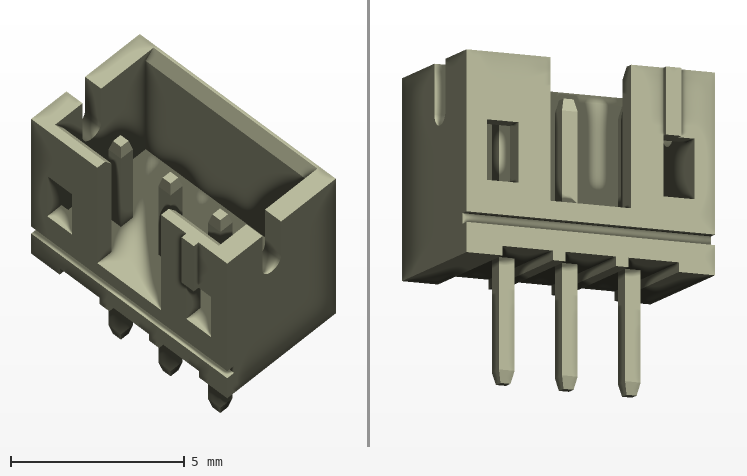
import cadquery as cq


body_length = 7.9
body_depth = 4.5
body_height = 5.99

end_wall = 0.65
back_wall = 0.42
front_wall = 0.59
floor_height = 1.75
lead_in_height = 0.31
back_lead_in = 0.33
front_lead_in = 0.27

front_opening_width = 2.57
window_width = 1.0
window_height = 1.79
window_drop = 2.01
side_slot_width = 0.77
side_slot_depth = 1.9

groove_bottom = 0.89
groove_height = 0.31
groove_depth = 0.28
relief_width = 1.6
relief_height = 0.28

rib_width = 0.49
rib_thickness = 0.2

pin_count = 3
pin_pitch = 2.0
pin_size = 0.5
pin_tip_size = 0.32
pin_taper = 0.38
pin_y = 1.71
pin_length_below = 3.41
pin_top_drop = 0.83

cavity_length = body_length - 2 * end_wall
cavity_back = body_depth - back_wall
window_bottom = body_height - window_drop - window_height
window_inner_x = cavity_length / 2 - window_width
side_slot_y = pin_y - pin_size / 2 + side_slot_width / 2
pin_positions = [(i - (pin_count - 1) / 2) * pin_pitch for i in range(pin_count)]


def box(x_min, x_size, y_min, y_size, z_min, z_size):
    """Box given by its lowest corner and its sizes."""
    return cq.Workplane("XY").box(x_size, y_size, z_size, centered=False).translate((x_min, y_min, z_min))


def cavity():
    """Open-topped cavity with sloped lead-ins along the front and back walls."""
    lead_in_bottom = body_height - lead_in_height
    profile = [
        (front_wall, floor_height),
        (front_wall, lead_in_bottom),
        (front_wall - front_lead_in, body_height),
        (cavity_back + back_lead_in, body_height),
        (cavity_back, lead_in_bottom),
        (cavity_back, floor_height),
    ]
    return cq.Workplane("YZ").polyline(profile).close().extrude(cavity_length / 2, both=True)


def front_opening():
    """Central gap in the front wall, level with the cavity floor."""
    return box(-front_opening_width / 2, front_opening_width, 0, front_wall,
               floor_height, body_height - floor_height)


def window(x_min):
    """Rectangular latch window through the front wall."""
    return box(x_min, window_width, 0, front_wall, window_bottom, window_height)


def side_slots():
    """Round-bottomed slot cut down through both end walls."""
    radius = side_slot_width / 2
    arc_z = body_height - side_slot_depth + radius
    return (
        cq.Workplane("YZ")
        .moveTo(side_slot_y - radius, body_height)
        .lineTo(side_slot_y - radius, arc_z)
        .threePointArc((side_slot_y, arc_z - radius), (side_slot_y + radius, arc_z))
        .lineTo(side_slot_y + radius, body_height)
        .close()
        .extrude(body_length / 2, both=True)
    )


def pin_relief(x):
    """Shallow channel across the underside, centred on one pin."""
    return box(x - relief_width / 2, relief_width, 0, body_depth, 0, relief_height)


def pin(x):
    """Square pin with a tapered tip at each end."""
    shaft_bottom = pin_taper - pin_length_below
    shaft_top = body_height - pin_top_drop - pin_taper
    shaft = cq.Workplane("XY", origin=(x, pin_y, shaft_bottom)).rect(pin_size, pin_size)
    shaft = shaft.extrude(shaft_top - shaft_bottom)
    for end_z, direction in ((shaft_bottom, -1), (shaft_top, 1)):
        tip = (
            cq.Workplane("XY", origin=(x, pin_y, end_z))
            .rect(pin_size, pin_size)
            .workplane(offset=direction * pin_taper)
            .rect(pin_tip_size, pin_tip_size)
            .loft(ruled=True)
        )
        shaft = shaft.union(tip)
    return shaft


housing = box(-body_length / 2, body_length, 0, body_depth, 0, body_height)
housing = housing.cut(cavity()).cut(front_opening()).cut(side_slots())
for window_x in (-cavity_length / 2, window_inner_x):
    housing = housing.cut(window(window_x))
housing = housing.cut(box(-body_length / 2, body_length, 0, groove_depth, groove_bottom, groove_height))

rib = box(window_inner_x, rib_width, -rib_thickness, rib_thickness, body_height - window_drop, window_drop)

result = housing.union(rib)
for pin_x in pin_positions:
    result = result.cut(pin_relief(pin_x)).union(pin(pin_x))